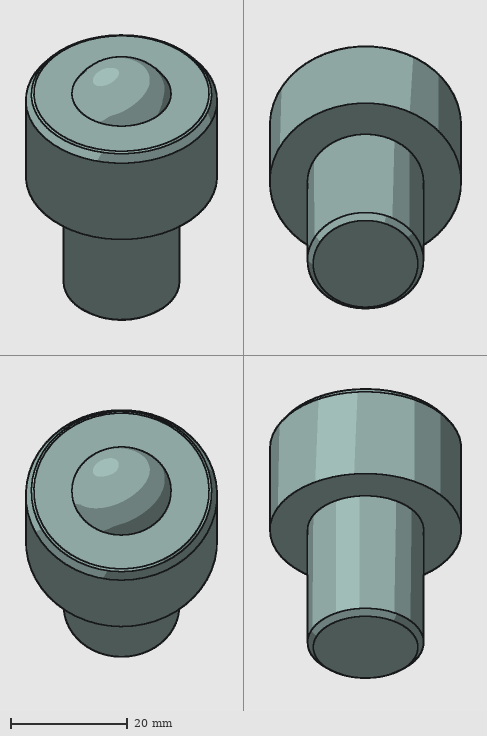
import cadquery as cq

total_height = 49.3
head_diameter = 33.0
shank_diameter = 20.0
shank_length = 25.0
shank_chamfer = 1.0

head_top = 44.0
chamfer_bottom = 42.45
lip_radius = 15.55
lip_bottom = 43.8
face_radius = 15.1

ball_radius = 9.5

head_radius = head_diameter / 2
shank_radius = shank_diameter / 2
ball_center = total_height - ball_radius


def make_shank():
    shank = cq.Workplane("XY").circle(shank_radius).extrude(shank_length)
    return shank.faces("<Z").chamfer(shank_chamfer)


def make_head():
    profile = (
        cq.Workplane("XZ")
        .moveTo(0, shank_length)
        .lineTo(head_radius, shank_length)
        .lineTo(head_radius, chamfer_bottom)
        .lineTo(lip_radius, lip_bottom)
        .lineTo(face_radius, head_top)
        .lineTo(0, head_top)
        .close()
    )
    return profile.revolve(360, (0, 0, 0), (0, 1, 0))


def make_ball():
    return cq.Workplane("XY").sphere(ball_radius).translate((0, 0, ball_center))


result = make_shank().union(make_head()).union(make_ball())